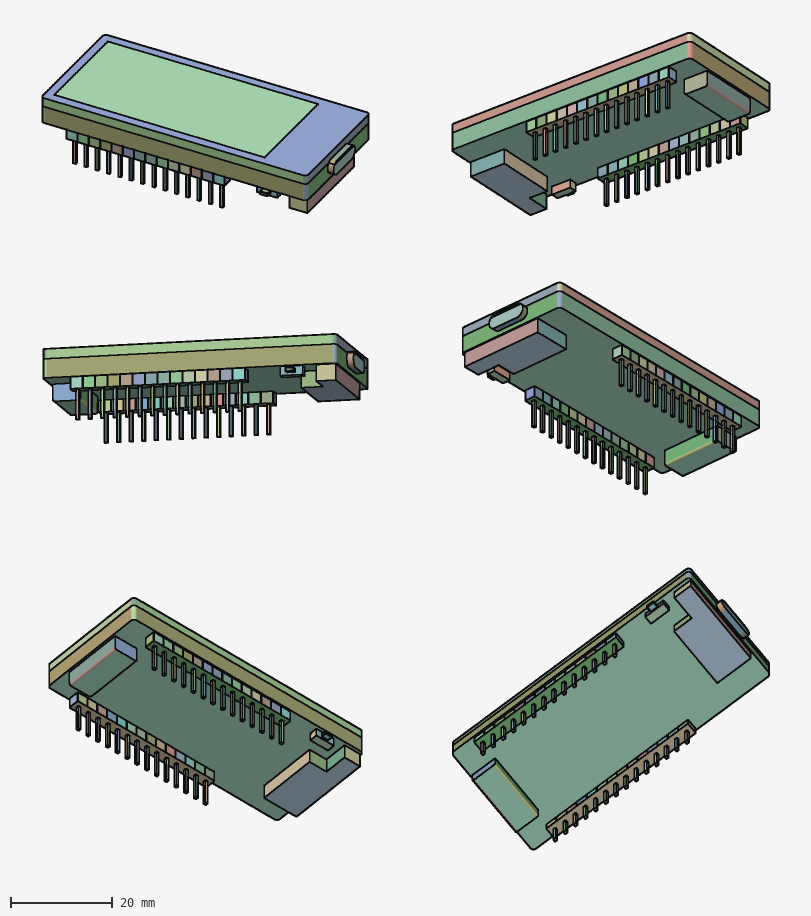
import cadquery as cq

TOTAL_LENGTH = 60.8
TOTAL_WIDTH = 26.5
TOTAL_HEIGHT = 14.15

CASE_LENGTH = 59.45
CASE_WIDTH = 25.95
CASE_HEIGHT = 5.85
CASE_CORNER_RADIUS = 0.8
COVER_THICKNESS = 2.0
PARTING_Z = CASE_HEIGHT - COVER_THICKNESS
CASE_FRONT_Y = -CASE_WIDTH / 2

SCREEN_LENGTH = 47.05
SCREEN_WIDTH = 21.95
SCREEN_LEFT_X = 1.9

USB_WIDTH = 8.9
USB_HEIGHT = 3.15
USB_CENTER_Z = 2.7
USB_LENGTH = TOTAL_LENGTH - CASE_LENGTH

UNDERSIDE_CENTER_Y = 0.05
FRONT_SETBACK = 0.7
SETBACK_Y = CASE_FRONT_Y + FRONT_SETBACK

PIN_COUNT = 14
PIN_ROW_SPAN = 32.9
PIN_PITCH = PIN_ROW_SPAN / (PIN_COUNT - 1)
PIN_SIDE = 0.6
PIN_BOTTOM_Z = CASE_HEIGHT - TOTAL_HEIGHT
FIRST_PIN_X = 6.75
HEADER_ROW_SPACING = 22.9
HEADER_HEIGHT = 2.4
HEADER_CHAMFER = 0.09

CONNECTOR_LEFT_X = 0.5
CONNECTOR_LENGTH = 5.65
CONNECTOR_WIDTH = 13.75
CONNECTOR_HEIGHT = 3.45
CONNECTOR_FILLET = 0.5

SOCKET_LEFT_X = 50.8
SIDE_BLOCK_LEFT_X = 55.2
RIGHT_BLOCKS_END_X = 59.2
RIGHT_BLOCKS_HEIGHT = 3.3
SOCKET_WIDTH = CONNECTOR_WIDTH

SWITCH_LEFT_X = 47.9
SWITCH_LENGTH = 4.55
SWITCH_HEIGHT = 1.8
SWITCH_DEPTH = 1.8
KNOB_LEFT_X = 49.25
KNOB_LENGTH = 1.75
KNOB_HEIGHT = 0.7
KNOB_CHAMFER = 0.09
KNOB_TIP_Y = CASE_WIDTH / 2 - TOTAL_WIDTH


def box_between(x_range, y_range, z_range):
    """Box given by its lower and upper limits along each axis."""
    (x0, x1), (y0, y1), (z0, z1) = x_range, y_range, z_range
    return cq.Workplane("XY").box(x1 - x0, y1 - y0, z1 - z0, centered=False).translate((x0, y0, z0))


def case_slab(bottom_z, top_z):
    """Full case outline with rounded corners between two levels."""
    slab = box_between((0, CASE_LENGTH), (CASE_FRONT_Y, -CASE_FRONT_Y), (bottom_z, top_z))
    return slab.edges("|Z").fillet(CASE_CORNER_RADIUS)


def make_usb_shell():
    return (
        cq.Workplane("YZ", origin=(CASE_LENGTH, 0, USB_CENTER_Z))
        .slot2D(USB_WIDTH, USB_HEIGHT)
        .extrude(USB_LENGTH)
    )


def usb_part(bottom_z, top_z):
    """Part of the USB shell that lies between two levels."""
    layer = box_between((CASE_LENGTH, TOTAL_LENGTH), (-USB_WIDTH, USB_WIDTH), (bottom_z, top_z))
    return make_usb_shell().intersect(layer)


def make_screen():
    return box_between(
        (SCREEN_LEFT_X, SCREEN_LEFT_X + SCREEN_LENGTH),
        (-SCREEN_WIDTH / 2, SCREEN_WIDTH / 2),
        (PARTING_Z, CASE_HEIGHT),
    )


def make_cover():
    """Upper case half with the screen window and the top of the USB shell."""
    plate = case_slab(PARTING_Z, CASE_HEIGHT).cut(make_screen())
    return plate.union(usb_part(PARTING_Z, CASE_HEIGHT))


def make_connector():
    body = box_between(
        (CONNECTOR_LEFT_X, CONNECTOR_LEFT_X + CONNECTOR_LENGTH),
        (UNDERSIDE_CENTER_Y - CONNECTOR_WIDTH / 2, UNDERSIDE_CENTER_Y + CONNECTOR_WIDTH / 2),
        (-CONNECTOR_HEIGHT, 0),
    )
    return body.edges("|Y and <Z").fillet(CONNECTOR_FILLET)


def make_right_blocks():
    """Wide socket joined to the shorter side block in front of it."""
    socket_front_y = UNDERSIDE_CENTER_Y - SOCKET_WIDTH / 2
    socket_back_y = UNDERSIDE_CENTER_Y + SOCKET_WIDTH / 2
    height = (-RIGHT_BLOCKS_HEIGHT, 0)
    socket = box_between((SOCKET_LEFT_X, RIGHT_BLOCKS_END_X), (socket_front_y, socket_back_y), height)
    side_block = box_between(
        (SIDE_BLOCK_LEFT_X, RIGHT_BLOCKS_END_X),
        (SETBACK_Y, socket_front_y),
        height,
    )
    return socket.union(side_block)


def make_switch():
    body = box_between(
        (SWITCH_LEFT_X, SWITCH_LEFT_X + SWITCH_LENGTH),
        (SETBACK_Y, SETBACK_Y + SWITCH_DEPTH),
        (-SWITCH_HEIGHT, 0),
    )
    center_z = -SWITCH_HEIGHT / 2
    knob = box_between(
        (KNOB_LEFT_X, KNOB_LEFT_X + KNOB_LENGTH),
        (KNOB_TIP_Y, SETBACK_Y),
        (center_z - KNOB_HEIGHT / 2, center_z + KNOB_HEIGHT / 2),
    )
    knob = knob.edges("|Y or <Y").chamfer(KNOB_CHAMFER)
    return body.union(knob)


def make_base():
    """Lower case half with the rest of the USB shell and the parts on its underside."""
    base = case_slab(0, PARTING_Z).union(usb_part(0, PARTING_Z))
    return base.union(make_connector()).union(make_right_blocks()).union(make_switch())


def make_header(row_y):
    """One row of chamfered header cells with their pins."""
    pin_points = [(FIRST_PIN_X + i * PIN_PITCH, row_y) for i in range(PIN_COUNT)]
    header = cq.Workplane("XY").pushPoints(pin_points).rect(PIN_SIDE, PIN_SIDE).extrude(PIN_BOTTOM_Z)
    cell = cq.Workplane("XY").rect(PIN_PITCH, PIN_PITCH).extrude(-HEADER_HEIGHT)
    cell = cell.edges("|Z").chamfer(HEADER_CHAMFER)
    for x, y in pin_points:
        header = header.union(cell.translate((x, y, 0)))
    return header


cover = make_cover()
screen = make_screen()
base = make_base()
headers = [make_header(UNDERSIDE_CENTER_Y + side * HEADER_ROW_SPACING / 2) for side in (-1, 1)]

result = cq.Compound.makeCompound(
    [part.solids().val() for part in (cover, screen, base, *headers)]
)